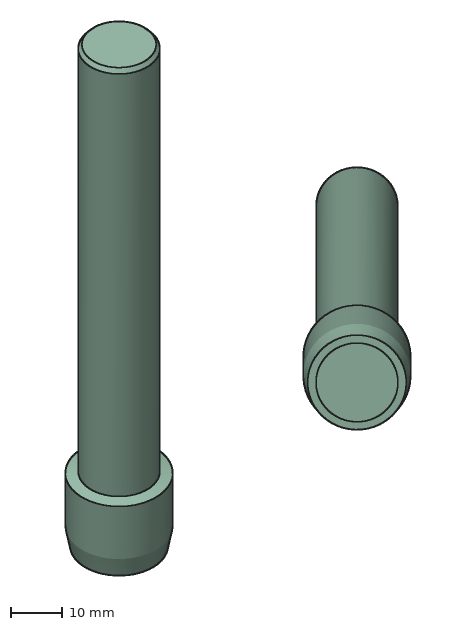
import cadquery as cq

total_height = 125.0
rod_diameter = 16.0
rod_chamfer_height = 1.0
rod_chamfer_width = 0.8

bushing_diameter = 21.0
bushing_height = 18.5
top_land_width = 0.2
bushing_top_rise = 0.5
lead_in_height = 4.9
lead_in_step = 0.9

rod_radius = rod_diameter / 2
bushing_radius = bushing_diameter / 2


def make_rod():
    """Plain round rod, chamfered at its top end."""
    profile = (
        cq.Workplane("XZ")
        .lineTo(rod_radius, 0)
        .lineTo(rod_radius, total_height - rod_chamfer_height)
        .lineTo(rod_radius - rod_chamfer_width, total_height)
        .lineTo(0, total_height)
        .close()
    )
    return profile.revolve(360, (0, 0, 0), (0, 1, 0))


def make_bushing():
    """Sleeve with a tapered lower end and a shallow conical top ending in a narrow flat land."""
    profile = (
        cq.Workplane("XZ")
        .moveTo(rod_radius, 0)
        .lineTo(bushing_radius - lead_in_step, 0)
        .lineTo(bushing_radius, lead_in_height)
        .lineTo(bushing_radius, bushing_height - bushing_top_rise)
        .lineTo(rod_radius + top_land_width, bushing_height)
        .lineTo(rod_radius, bushing_height)
        .close()
    )
    return profile.revolve(360, (0, 0, 0), (0, 1, 0))


rod = make_rod()
bushing = make_bushing()
result = cq.Compound.makeCompound([rod.val(), bushing.val()])